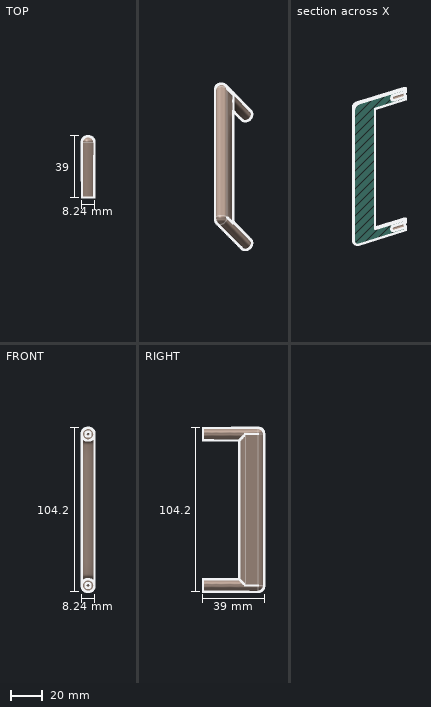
import cadquery as cq
import math

leg_spacing = 96.0
reach = 38.99
grip_width = 8.24
grip_depth = 16.0
leg_tip_diameter = 8.0

screw_hole_diameter = 3.24
screw_hole_depth = 10.0
drill_point_angle = 118.0

grip_radius = grip_width / 2
grip_center_y = reach - grip_depth / 2
leg_root_y = reach - grip_radius


def make_grip():
    """Oval bar running between the two leg axes."""
    return (
        cq.Workplane("XY")
        .workplane(offset=-leg_spacing / 2)
        .center(0, grip_center_y)
        .slot2D(grip_depth, grip_width, 90)
        .extrude(leg_spacing)
    )


def make_leg(axis_z):
    """Leg tapering from the grip width to its tip, with a ball end closing the back corner."""
    root_center = (0, leg_root_y, axis_z)
    ball = cq.Workplane("XY").sphere(grip_radius).translate(root_center)
    shank = cq.Solid.makeCone(
        leg_tip_diameter / 2,
        grip_radius,
        leg_root_y,
        pnt=cq.Vector(0, 0, axis_z),
        dir=cq.Vector(0, 1, 0),
    )
    return ball.union(cq.Workplane(shank))


def make_screw_hole(axis_z):
    """Blind drilled hole entering the leg tip, with a conical bottom."""
    hole_radius = screw_hole_diameter / 2
    point_length = hole_radius / math.tan(math.radians(drill_point_angle / 2))
    return (
        cq.Workplane("XY")
        .moveTo(0, 0)
        .lineTo(hole_radius, 0)
        .lineTo(hole_radius, screw_hole_depth)
        .lineTo(0, screw_hole_depth + point_length)
        .close()
        .revolve(360, (0, 0, 0), (0, 1, 0))
        .translate((0, 0, axis_z))
    )


result = make_grip()
for leg_z in (-leg_spacing / 2, leg_spacing / 2):
    result = result.union(make_leg(leg_z))
    result = result.cut(make_screw_hole(leg_z))